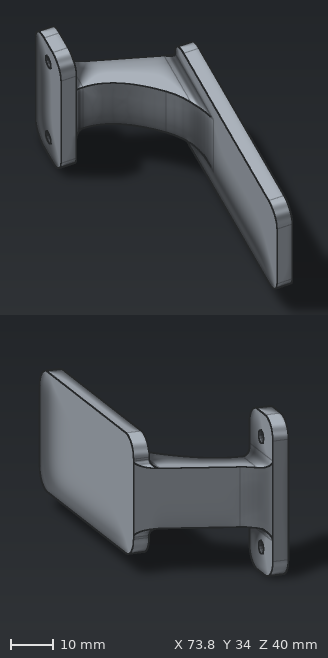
import cadquery as cq
import math

plate_thickness = 4.0
corner_radius = 5.0
mount_width = 15.0
mount_height = 40.0
hole_diameter = 3.2
hole_spacing = 27.5
panel_length = 60.0
panel_height = 30.0
depth = 34.0
panel_front = depth - plate_thickness

arm_height = 15.0
lean = 1 / 3
panel_left = mount_width / 4 + lean * panel_front
outer_root_radius = 10.0
root_overlap_y = plate_thickness / 2
inner_face_x = 13.1
inner_root_radius = 2.5
panel_blend_radius = 19.5
panel_blend_end_x = 36.25
panel_blend_angle = math.radians(46.5)
inner_root_pull = 7.5
inner_blend_pull = 5.0
mount_side_fillet = 2.5
panel_side_fillet = 2.0


def rounded_plate(left, front, length, height):
    """Upright plate with its four corners rounded."""
    plate = cq.Workplane("XY").box(length, plate_thickness, height, centered=(False, False, True))
    return plate.translate((left, front, 0)).edges("|Y").fillet(corner_radius)


def arm_profile(bottom):
    """Outline of the arm in the XY plane, between the mount's front and the panel's back, at Z = `bottom`."""
    face_length = math.hypot(1, lean)
    along_x, along_y = lean / face_length, 1 / face_length

    foot_x = mount_width / 4
    offset_x = foot_x - outer_root_radius * along_y
    offset_y = outer_root_radius * along_x
    half_linear = offset_x * along_x + offset_y * along_y
    constant = offset_x**2 + offset_y**2 - outer_root_radius**2
    tangent_length = math.sqrt(half_linear**2 - constant) - half_linear
    outer_center_x = offset_x + tangent_length * along_x
    outer_center_y = plate_thickness + offset_y + tangent_length * along_y
    outer_start = (0, plate_thickness)
    outer_end = (foot_x + tangent_length * along_x, plate_thickness + tangent_length * along_y)
    outer_middle_x = outer_end[0] / 2
    outer_middle_drop = math.sqrt(outer_root_radius**2 - (outer_middle_x - outer_center_x) ** 2)
    outer_middle = (outer_middle_x, outer_center_y - outer_middle_drop)

    inner_center_x = inner_face_x + inner_root_radius
    edge_offset = inner_center_x - mount_width
    inner_center_y = plate_thickness + math.sqrt(inner_root_radius**2 - edge_offset**2)
    inner_start = (inner_face_x, inner_center_y)
    inner_middle_x = (inner_face_x + mount_width) / 2
    inner_middle_drop = math.sqrt(inner_root_radius**2 - (inner_middle_x - inner_center_x) ** 2)
    inner_middle = (inner_middle_x, inner_center_y - inner_middle_drop)
    inner_end = (mount_width, plate_thickness)

    def panel_blend_point(angle):
        return (
            panel_blend_end_x - panel_blend_radius * math.sin(angle),
            panel_front - panel_blend_radius * (1 - math.cos(angle)),
        )

    blend_start = panel_blend_point(panel_blend_angle)
    blend_pull_point = (
        blend_start[0] - inner_blend_pull * math.cos(panel_blend_angle),
        blend_start[1] - inner_blend_pull * math.sin(panel_blend_angle),
    )
    root_pull_point = (inner_face_x, inner_center_y + inner_root_pull)

    return (
        cq.Workplane("XY", origin=(0, 0, bottom))
        .moveTo(0, root_overlap_y)
        .lineTo(*outer_start)
        .threePointArc(outer_middle, outer_end)
        .lineTo(panel_left, depth)
        .lineTo(panel_blend_end_x, depth)
        .lineTo(panel_blend_end_x, panel_front)
        .threePointArc(panel_blend_point(panel_blend_angle / 2), blend_start)
        .bezier([blend_start, blend_pull_point, root_pull_point, inner_start])
        .threePointArc(inner_middle, inner_end)
        .lineTo(mount_width, root_overlap_y)
        .close()
    )


def side_flare_cutters(facing):
    """Solids that trim one side of the arm to its height, leaving fillets at both plates.

    `facing` is +1 for the +Z side and -1 for the -Z side.
    """
    side = facing * arm_height / 2
    beyond = facing * mount_height / 2
    diagonal = math.cos(math.radians(45))
    mount_top = side + facing * mount_side_fillet
    panel_top = side + facing * panel_side_fillet
    reach = panel_blend_end_x * 2

    mount_bow = mount_side_fillet * (1 - diagonal)
    panel_bow = panel_side_fillet * (1 - diagonal)
    gap = (
        cq.Workplane("YZ")
        .moveTo(plate_thickness, beyond)
        .lineTo(plate_thickness, mount_top)
        .threePointArc(
            (plate_thickness + mount_bow, side + facing * mount_bow),
            (plate_thickness + mount_side_fillet, side),
        )
        .lineTo(panel_front - panel_side_fillet, side)
        .threePointArc(
            (panel_front - panel_bow, side + facing * panel_bow),
            (panel_front, panel_top),
        )
        .lineTo(panel_front, beyond)
        .close()
        .extrude(reach)
    )

    relief = (
        cq.Workplane("XZ", origin=(0, depth, 0))
        .moveTo(0, side)
        .lineTo(panel_left - panel_side_fillet, side)
        .threePointArc(
            (panel_left - panel_bow, side + facing * panel_bow),
            (panel_left, panel_top),
        )
        .lineTo(panel_left, beyond)
        .lineTo(0, beyond)
        .close()
        .extrude(plate_thickness + panel_side_fillet)
    )
    return gap.union(relief)


def arm():
    """Arm with fillets along its sides where it meets the plates."""
    blank_height = arm_height + 2 * max(mount_side_fillet, panel_side_fillet)
    body = arm_profile(-blank_height / 2).extrude(blank_height)
    for facing in (1, -1):
        body = body.cut(side_flare_cutters(facing))
    return body


def mount_holes():
    """Pair of screw holes through the mount."""
    return (
        cq.Workplane("XZ")
        .pushPoints([(mount_width / 2, z) for z in (-hole_spacing / 2, hole_spacing / 2)])
        .circle(hole_diameter / 2)
        .extrude(-plate_thickness)
    )


mount = rounded_plate(0, 0, mount_width, mount_height)
panel = rounded_plate(panel_left, panel_front, panel_length, panel_height)
result = mount.union(panel).union(arm()).cut(mount_holes())